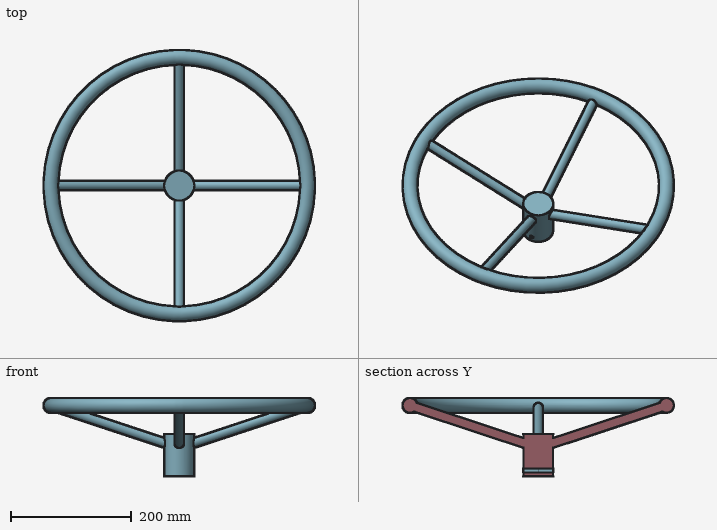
import cadquery as cq
import math

wheel_diameter = 450.0
total_height = 130.0
rim_tube_diameter = 25.0
hub_diameter = 50.0
hub_height = 70.0
spoke_diameter = 16.0
spoke_count = 4
spoke_root_height = 47.2
pin_hole_diameter = 6.0
pin_hole_height = 10.0

rim_radius = (wheel_diameter - rim_tube_diameter) / 2
rim_height = total_height - rim_tube_diameter / 2


def make_rim():
    """Round-section ring at the top of the wheel."""
    ring = (
        cq.Workplane("XZ")
        .transformed(offset=(rim_radius, rim_height, 0), rotate=(0, 0, 180))
        .circle(rim_tube_diameter / 2)
        .revolve(360, (rim_radius, 0), (rim_radius, 1))
    )
    return ring.rotate((0, 0, 0), (0, 0, 1), 180 / spoke_count)


def make_hub():
    """Plain cylinder on the wheel axis."""
    return cq.Workplane("XY").circle(hub_diameter / 2).extrude(hub_height)


def make_spoke(angle):
    """Sloping round bar from the wheel axis to the centre of the rim tube."""
    rise = rim_height - spoke_root_height
    length = math.hypot(rim_radius, rise)
    root = cq.Vector(0, 0, spoke_root_height)
    direction = cq.Vector(rim_radius, 0, rise)
    bar = cq.Solid.makeCylinder(spoke_diameter / 2, length, root, direction)
    return cq.Workplane(obj=bar).rotate((0, 0, 0), (0, 0, 1), angle)


def make_pin_hole():
    """Cross hole along X, right through the foot of the hub."""
    return (
        cq.Workplane("YZ")
        .center(0, pin_hole_height)
        .circle(pin_hole_diameter / 2)
        .extrude(hub_diameter, both=True)
    )


wheel = make_hub()
for spoke_index in range(spoke_count):
    wheel = wheel.union(make_spoke(spoke_index * 360 / spoke_count))
wheel = wheel.union(make_rim())

result = wheel.cut(make_pin_hole())